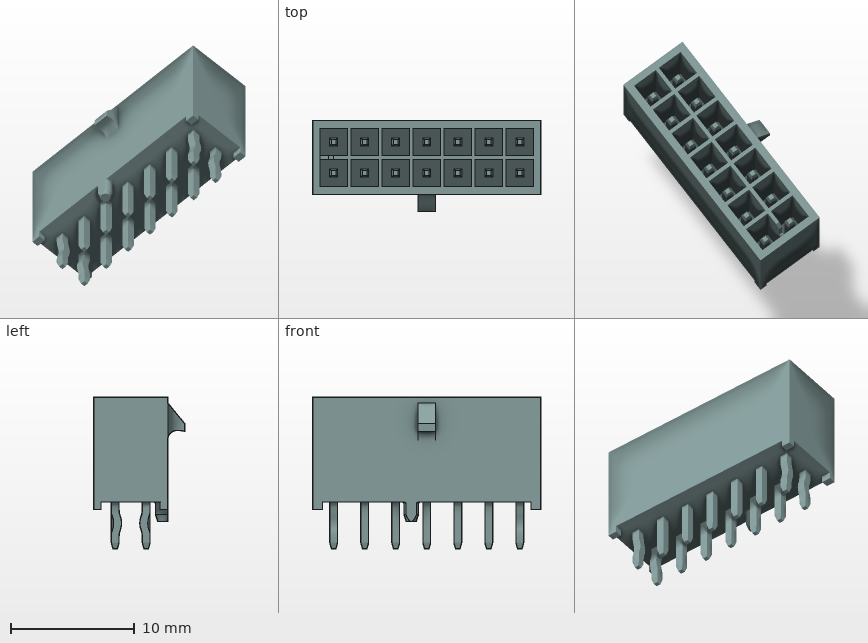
import cadquery as cq


columns = 7
rows = 2
pitch = 2.5

length = 18.44
width = 6.0
height = 8.48
foot_length = 0.8
foot_width = 0.6
foot_height = 0.6

divider = 0.31
cavity_side = pitch - divider
cavity_depth = 6.64
cavity_floor = height - cavity_depth

notch_length = 0.68
notch_depth = 2.21
ramp_length = 0.39
ramp_height = 0.42

latch_width = 1.42
latch_reach = 1.38
latch_top = 0.46
nose_top = 2.14
nose_bottom = 2.77
latch_root = 3.45
root_radius = 0.75

peg_x = -pitch / 2
peg_radius = 0.59
peg_tip_radius = 0.4
peg_setback = 0.4
peg_height = 1.59
peg_taper = 0.57
peg_root_radius = 0.13

pin_side = 0.65
pin_tip_side = 0.37
pin_taper = 0.5
pin_recess = 2.21
pin_top = height - pin_recess
pin_bottom = -3.78

kink_middle = -1.7
kink_half_height = 1.12
crest_half_height = 0.52
kink_offset = 0.2

front = -width / 2
column_places = [(i - (columns - 1) / 2) * pitch for i in range(columns)]
row_places = [(i - (rows - 1) / 2) * pitch for i in range(rows)]
grid = [(x, y) for x in column_places for y in row_places]


def make_housing():
    """Block with a foot at each corner and an open-topped cavity around each pin."""
    block = cq.Workplane("XY").box(length, width, height, centered=(True, True, False))
    feet = (
        cq.Workplane("XY")
        .rect(length - foot_length, width - foot_width, forConstruction=True)
        .vertices()
        .rect(foot_length, foot_width)
        .extrude(-foot_height)
    )
    cavities = (
        cq.Workplane("XY", origin=(0, 0, cavity_floor))
        .pushPoints(grid)
        .rect(cavity_side, cavity_side)
        .extrude(cavity_depth)
    )
    return block.union(feet).cut(cavities)


def make_notch():
    """Ramped notch at the -X end of the middle wall."""
    start = column_places[0] - cavity_side / 2
    end = start + notch_length
    return (
        cq.Workplane("XZ")
        .moveTo(start, height - notch_depth)
        .lineTo(end, height - notch_depth)
        .lineTo(end, height - ramp_height)
        .lineTo(end + ramp_length, height)
        .lineTo(start, height)
        .close()
        .extrude(divider / 2, both=True)
    )


def make_latch():
    """Wedge with a sloped top and a hollow underside that blends into the front wall."""
    nose = front - latch_reach
    return (
        cq.Workplane("YZ")
        .moveTo(front, height - latch_top)
        .lineTo(front, height - latch_root)
        .radiusArc((front - root_radius, height - latch_root + root_radius), -root_radius)
        .tangentArcPoint((nose, height - nose_bottom), relative=False)
        .lineTo(nose, height - nose_top)
        .close()
        .extrude(latch_width / 2, both=True)
    )


def make_peg():
    """Round peg with a flared root and tapered tip, cut flat in line with the front wall."""
    peg_y = front + peg_setback
    flare_radius = peg_radius + peg_root_radius
    post = (
        cq.Workplane("XZ")
        .lineTo(flare_radius, 0)
        .radiusArc((peg_radius, -peg_root_radius), -peg_root_radius)
        .lineTo(peg_radius, peg_taper - peg_height)
        .lineTo(peg_tip_radius, -peg_height)
        .lineTo(0, -peg_height)
        .close()
        .revolve(360, (0, 0), (0, 1))
        .translate((peg_x, peg_y, 0))
    )
    footprint = cq.Workplane("XY").rect(length, width).extrude(-peg_height)
    return post.intersect(footprint)


def make_tip(z, direction):
    """Tapered pin end starting at height z and pointing up (1) or down (-1)."""
    return (
        cq.Workplane("XY", origin=(0, 0, z))
        .rect(pin_side, pin_side)
        .workplane(offset=direction * pin_taper)
        .rect(pin_tip_side, pin_tip_side)
        .loft(ruled=True)
    )


def make_pin(bend):
    """Square pin whose kink moves by bend along Y; zero gives a straight pin."""
    half = pin_side / 2
    shank_top = pin_top - pin_taper
    shank_bottom = pin_bottom + pin_taper
    profile = cq.Workplane("YZ").moveTo(-half, shank_bottom)
    if bend:
        flank_share = 1 - crest_half_height / kink_half_height
        turn = bend * flank_share
        profile = (
            profile.lineTo(-half, kink_middle - kink_half_height)
            .tangentArcPoint((turn - half, kink_middle - crest_half_height), relative=False)
            .tangentArcPoint((turn - half, kink_middle + crest_half_height), relative=False)
            .tangentArcPoint((-half, kink_middle + kink_half_height), relative=False)
            .lineTo(-half, shank_top)
            .lineTo(half, shank_top)
            .lineTo(half, kink_middle + kink_half_height)
            .tangentArcPoint((turn + half, kink_middle + crest_half_height), relative=False)
            .tangentArcPoint((turn + half, kink_middle - crest_half_height), relative=False)
            .tangentArcPoint((half, kink_middle - kink_half_height), relative=False)
            .lineTo(half, shank_bottom)
        )
    else:
        profile = profile.lineTo(-half, shank_top).lineTo(half, shank_top).lineTo(half, shank_bottom)
    shank = profile.close().extrude(half, both=True)
    return shank.union(make_tip(shank_top, 1)).union(make_tip(shank_bottom, -1))


result = make_housing().cut(make_notch()).union(make_latch()).union(make_peg())

for x, y in grid:
    at_end = x in (column_places[0], column_places[-1])
    inward = -1 if y > 0 else 1
    pin = make_pin(inward * kink_offset if at_end else 0)
    result = result.union(pin.translate((x, y, 0)))